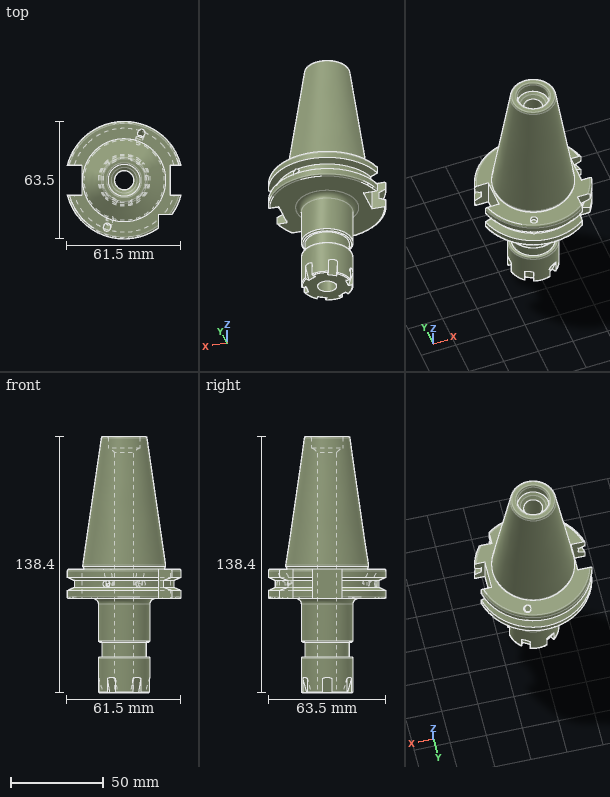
import cadquery as cq
import math

TOTAL_HEIGHT = 138.4
GAUGE_HEIGHT = 70.0
FLANGE_TOP = 66.8
FLANGE_BOTTOM = 51.0
BODY_BOTTOM = 27.3
NUT_TOP = 19.5

GAUGE_RADIUS = 44.4 / 2
TAPER_SLOPE = 7 / 24 / 2
TAPER_BOTTOM = 69.0
RIM_RADIUS = 22.4
RIM_BOTTOM = 68.2
UNDERCUT_RADIUS = 21.6
SHANK_TOP_ROUND = 0.8

FLANGE_RADIUS = 63.5 / 2
FLANGE_TOP_ROUND = 1.1
FLANGE_BOTTOM_ROUND = 0.8
GROOVE_CENTER = 58.8
GROOVE_FLOOR_RADIUS = 28.1
GROOVE_FLOOR_WIDTH = 3.6
GROOVE_MOUTH_WIDTH = 7.2

KEYWAY_WIDTH = 16.0
KEYWAY_LEFT_FLOOR = 22.8
KEYWAY_RIGHT_FLOOR = 24.9
NOTCH_OFFSET = 18.5

COOLANT_RADIUS = 2.0
COOLANT_CIRCLE_RADIUS = 27.0
COOLANT_ANGLE = 70.0
COOLANT_TILT = 30.0
COOLANT_LENGTH = 9.7
SCREW_HOLE_RADIUS = 2.0
SCREW_HOLE_FLOOR_RADIUS = 23.5

BODY_RADIUS = 14.0
BODY_FILLET = 3.0
BODY_CHAMFER = 0.8
NECK_RADIUS = 12.0
NUT_RADIUS = BODY_RADIUS
NUT_TOP_ROUND = 0.8
NUT_BOTTOM_CHAMFER = 0.5
WRENCH_SLOT_COUNT = 6
WRENCH_SLOT_WIDTH = 5.0
WRENCH_SLOT_HEIGHT = 8.5
WRENCH_SLOT_FOOT_DEPTH = 2.8

MOUTH_ROUND = 0.8
COUNTERBORE_RADIUS = 8.6
COUNTERBORE_DEPTH = 6.1
SEAT_RADIUS = 6.9
SEAT_DEPTH = 6.9
BORE_RADIUS = 5.1
BORE_TOP_DEPTH = 8.6


def taper_radius(z):
    """Radius of the steep taper at height z."""
    return GAUGE_RADIUS - (z - GAUGE_HEIGHT) * TAPER_SLOPE


def turned_body():
    """Revolve the outer profile, from the nut face up to the shank end."""
    shank_shoulder = TOTAL_HEIGHT - SHANK_TOP_ROUND
    half_floor = GROOVE_FLOOR_WIDTH / 2
    half_mouth = GROOVE_MOUTH_WIDTH / 2
    return (
        cq.Workplane("XZ")
        .moveTo(0, 0)
        .lineTo(NUT_RADIUS - NUT_BOTTOM_CHAMFER, 0)
        .lineTo(NUT_RADIUS, NUT_BOTTOM_CHAMFER)
        .lineTo(NUT_RADIUS, NUT_TOP - NUT_TOP_ROUND)
        .tangentArcPoint((-NUT_TOP_ROUND, NUT_TOP_ROUND))
        .lineTo(NECK_RADIUS, NUT_TOP)
        .lineTo(NECK_RADIUS, BODY_BOTTOM)
        .lineTo(BODY_RADIUS - BODY_CHAMFER, BODY_BOTTOM)
        .lineTo(BODY_RADIUS, BODY_BOTTOM + BODY_CHAMFER)
        .lineTo(BODY_RADIUS, FLANGE_BOTTOM - BODY_FILLET)
        .tangentArcPoint((BODY_FILLET, BODY_FILLET))
        .lineTo(FLANGE_RADIUS - FLANGE_BOTTOM_ROUND, FLANGE_BOTTOM)
        .tangentArcPoint((FLANGE_BOTTOM_ROUND, FLANGE_BOTTOM_ROUND))
        .lineTo(FLANGE_RADIUS, GROOVE_CENTER - half_mouth)
        .lineTo(GROOVE_FLOOR_RADIUS, GROOVE_CENTER - half_floor)
        .lineTo(GROOVE_FLOOR_RADIUS, GROOVE_CENTER + half_floor)
        .lineTo(FLANGE_RADIUS, GROOVE_CENTER + half_mouth)
        .lineTo(FLANGE_RADIUS, FLANGE_TOP - FLANGE_TOP_ROUND)
        .tangentArcPoint((-FLANGE_TOP_ROUND, FLANGE_TOP_ROUND))
        .lineTo(UNDERCUT_RADIUS, FLANGE_TOP)
        .lineTo(RIM_RADIUS, RIM_BOTTOM)
        .lineTo(RIM_RADIUS, TAPER_BOTTOM)
        .lineTo(taper_radius(shank_shoulder), shank_shoulder)
        .tangentArcPoint((-SHANK_TOP_ROUND, SHANK_TOP_ROUND))
        .lineTo(0, TOTAL_HEIGHT)
        .close()
        .revolve(360, (0, 0), (0, 1))
    )


def stepped_bore():
    """Through bore, two-stage conical seat and counterbore with a rounded mouth, as one cutter."""
    return (
        cq.Workplane("XZ")
        .moveTo(0, 0)
        .lineTo(BORE_RADIUS, 0)
        .lineTo(BORE_RADIUS, TOTAL_HEIGHT - BORE_TOP_DEPTH)
        .lineTo(SEAT_RADIUS, TOTAL_HEIGHT - SEAT_DEPTH)
        .lineTo(COUNTERBORE_RADIUS, TOTAL_HEIGHT - COUNTERBORE_DEPTH)
        .lineTo(COUNTERBORE_RADIUS, TOTAL_HEIGHT - MOUTH_ROUND)
        .tangentArcPoint((MOUTH_ROUND, MOUTH_ROUND))
        .lineTo(0, TOTAL_HEIGHT)
        .close()
        .revolve(360, (0, 0), (0, 1))
    )


def flange_block(x_min, x_max, y_min, y_max):
    """Block over the full flange thickness between the given X and Y limits."""
    return (
        cq.Workplane("XY")
        .workplane(offset=FLANGE_BOTTOM)
        .moveTo(x_min, y_min)
        .lineTo(x_max, y_min)
        .lineTo(x_max, y_max)
        .lineTo(x_min, y_max)
        .close()
        .extrude(FLANGE_TOP - FLANGE_BOTTOM)
    )


def flange_cutouts():
    """Two drive keyways of unequal depth and the square orientation notch."""
    reach = FLANGE_RADIUS + 1.4
    half_key = KEYWAY_WIDTH / 2
    left_keyway = flange_block(-reach, -KEYWAY_LEFT_FLOOR, -half_key, half_key)
    right_keyway = flange_block(KEYWAY_RIGHT_FLOOR, reach, -half_key, half_key)
    notch = flange_block(NOTCH_OFFSET, reach, -reach, -NOTCH_OFFSET)
    return left_keyway.union(right_keyway).union(notch)


def coolant_holes():
    """Two opposite channels leaning inward, each met by a radial screw hole from the groove."""
    tilt = math.radians(COOLANT_TILT)
    axis = cq.Vector(-math.sin(tilt), 0, -math.cos(tilt))
    mouth = cq.Vector(COOLANT_CIRCLE_RADIUS, 0, FLANGE_TOP)
    start = mouth - axis * (2 * COOLANT_RADIUS)
    channel = cq.Solid.makeCylinder(COOLANT_RADIUS, COOLANT_LENGTH + 2 * COOLANT_RADIUS, start, axis)
    screw_hole = cq.Solid.makeCylinder(
        SCREW_HOLE_RADIUS,
        FLANGE_RADIUS - SCREW_HOLE_FLOOR_RADIUS,
        cq.Vector(SCREW_HOLE_FLOOR_RADIUS, 0, GROOVE_CENTER),
        cq.Vector(1, 0, 0),
    )
    pair = cq.Workplane("XY").add(channel).union(cq.Workplane("XY").add(screw_hole))
    first = pair.rotate((0, 0, 0), (0, 0, 1), COOLANT_ANGLE)
    return first.union(first.rotate((0, 0, 0), (0, 0, 1), 180))


def wrench_slots():
    """Slots at the nut foot; each sloping floor runs out at the nut surface at the slot top."""
    reach = NUT_RADIUS + 1.4
    wedge = (
        cq.Workplane("XZ")
        .moveTo(NUT_RADIUS - WRENCH_SLOT_FOOT_DEPTH, 0)
        .lineTo(reach, 0)
        .lineTo(reach, WRENCH_SLOT_HEIGHT)
        .lineTo(NUT_RADIUS, WRENCH_SLOT_HEIGHT)
        .close()
        .extrude(WRENCH_SLOT_WIDTH / 2, both=True)
    )
    slots = wedge
    for index in range(1, WRENCH_SLOT_COUNT):
        turn = index * 360 / WRENCH_SLOT_COUNT
        slots = slots.union(wedge.rotate((0, 0, 0), (0, 0, 1), turn))
    return slots


result = (
    turned_body()
    .cut(stepped_bore())
    .cut(flange_cutouts())
    .cut(coolant_holes())
    .cut(wrench_slots())
)